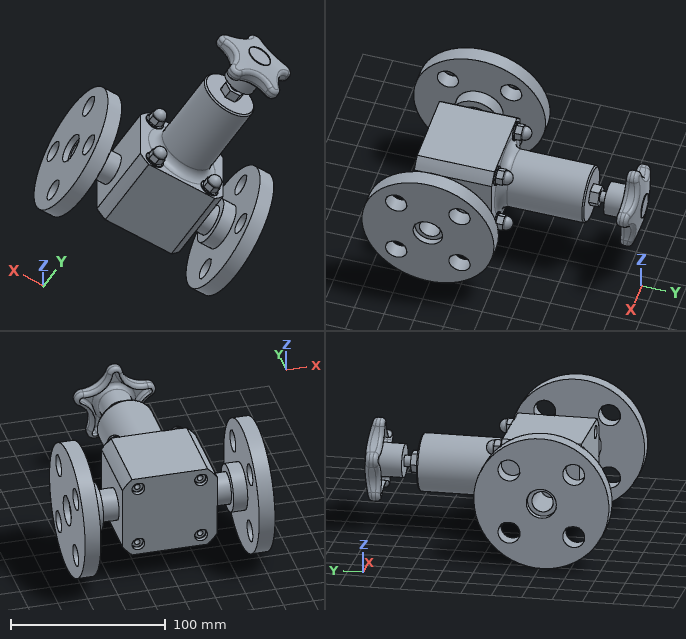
import cadquery as cq
import math


overall_length = 127.0
overall_depth = 171.8
flange_dia = 89.0
flange_thickness = 10.6
collar_dia = 31.8
collar_length = 9.5
pipe_dia = 21.3
bore_dia = 13.9
seat_dia = 19.8
seat_depth = 4.1
bolt_hole_dia = 14.3
bolt_hole_offset = 21.3

body_width = 63.4
body_height = 57.4
body_front_y = -18.7
body_back_y = 33.5
body_corner_dia = 76.5

screw_offset = 21.0
recess_dia = 8.5
recess_depth = 3.5
head_dia = 7.9
head_depth = 2.5
socket_dia = 3.8
socket_depth = 1.9
washer_dia = 12.7
washer_thickness = 0.9
nut_dia = 9.5
nut_hex_top = 5.5
nut_dome_base = 6.4

bonnet_dia = 38.1
bonnet_bottom_y = body_back_y + nut_dome_base
bonnet_top_y = 91.4
bonnet_chamfer = 1.0
gland_flats = 12.7
gland_top_y = 97.5
spindle_dia = 7.4
hub_dia = 22.2
hub_bottom_y = 102.5

wheel_top_y = overall_depth - flange_dia / 2
wheel_bottom_y = 115.2
lobe_count = 5
lobe_radius = 5.2
lobe_center_radius = 23.2
lobe_half_angle = 80.0
dome_radius = 92.7
cap_disc_dia = 16.3
cap_disc_height = 0.5
wheel_fillet = 3.0
rim_thickness = 3.0
pocket_depth = 5.5
pocket_fillet = 2.0
hub_flare_height = 3.5


def cylinder_x(dia, x_start, x_end):
    return cq.Workplane("YZ", origin=(x_start, 0, 0)).circle(dia / 2).extrude(x_end - x_start)


def plane_y(y):
    """Sketch plane at height y whose normal is +Y and whose local axes are Z and X."""
    return cq.Workplane(cq.Plane(origin=(0, y, 0), xDir=(0, 0, 1), normal=(0, 1, 0)))


def cylinder_y(dia, y_start, y_end):
    return plane_y(y_start).circle(dia / 2).extrude(y_end - y_start)


def hexagon_y(across_flats, y_start, y_end, turn=0):
    """Hexagonal prism along Y with corners towards +Z and -Z, turned by the given degrees."""
    across_corners = 2 * across_flats / math.sqrt(3)
    sketch = plane_y(y_start).transformed(rotate=(0, 0, turn))
    return sketch.polygon(6, across_corners).extrude(y_end - y_start)


def square_pattern(offset):
    return [(a, b) for a in (-offset, offset) for b in (-offset, offset)]


def make_pipe_end():
    """Flange, collar and pipe on the -X side."""
    end_x = -overall_length / 2
    body_x = -body_width / 2
    collar_x = end_x + flange_thickness
    flange = cylinder_x(flange_dia, end_x, collar_x)
    bolt_holes = (
        cq.Workplane("YZ", origin=(end_x, 0, 0))
        .pushPoints(square_pattern(bolt_hole_offset))
        .circle(bolt_hole_dia / 2)
        .extrude(flange_thickness)
    )
    return (
        flange.cut(bolt_holes)
        .union(cylinder_x(collar_dia, collar_x, collar_x + collar_length))
        .union(cylinder_x(pipe_dia, collar_x, body_x))
        .cut(cylinder_x(bore_dia, end_x, body_x))
        .cut(cylinder_x(seat_dia, end_x, end_x + seat_depth))
    )


def make_body():
    """Block whose four long edges are turned off to a common diameter."""
    block = plane_y(body_front_y).rect(body_height, body_width).extrude(body_back_y - body_front_y)
    return block.intersect(cylinder_y(body_corner_dia, body_front_y, body_back_y))


def make_screw_recess():
    """Recess at the -Y face around a screw head with a conical socket, centred on the Y axis."""
    head_y = body_front_y + head_depth
    recess = cylinder_y(recess_dia, body_front_y, body_front_y + recess_depth)
    head = cylinder_y(head_dia, head_y, body_front_y + recess_depth)
    axis = cq.Vector(0, 1, 0)
    socket = cq.Solid.makeCone(socket_dia / 2, 0, socket_depth, cq.Vector(0, head_y, 0), axis)
    return recess.cut(head).union(cq.Workplane(socket))


def make_cap_nut():
    """Washer and domed hexagon nut on the +Y face, centred on the Y axis."""
    dome_y = body_back_y + nut_dome_base
    washer_y = body_back_y + washer_thickness
    washer = cylinder_y(washer_dia, body_back_y, washer_y)
    hexagon = hexagon_y(nut_dia, washer_y, body_back_y + nut_hex_top)
    cap = cylinder_y(nut_dia, body_back_y, dome_y)
    dome = cq.Workplane("XY", origin=(0, dome_y, 0)).sphere(nut_dia / 2)
    return washer.union(hexagon).union(cap).union(dome)


def make_flare(dia, rim_y, base_y):
    """Solid of the given diameter at rim_y that widens in a hollow quarter round towards base_y."""
    radius = dia / 2
    flare_radius = abs(base_y - rim_y)
    bend = flare_radius * (1 - math.sqrt(0.5))
    bend_y = base_y + math.copysign(bend, rim_y - base_y)
    return (
        cq.Workplane("XY")
        .moveTo(0, base_y)
        .lineTo(radius + flare_radius, base_y)
        .threePointArc((radius + bend, bend_y), (radius, rim_y))
        .lineTo(0, rim_y)
        .close()
        .revolve(360, (0, 0, 0), (0, 1, 0))
    )


def make_bonnet():
    """Bonnet flaring onto the body, with the hexagonal gland and the spindle up to the wheel hub."""
    bonnet = cylinder_y(bonnet_dia, bonnet_bottom_y, bonnet_top_y).faces(">Y").chamfer(bonnet_chamfer)
    foot = make_flare(bonnet_dia, bonnet_bottom_y, body_back_y)
    gland = hexagon_y(gland_flats, bonnet_top_y, gland_top_y, turn=30)
    spindle = cylinder_y(spindle_dia, gland_top_y, hub_bottom_y)
    return bonnet.union(foot).union(gland).union(spindle)


def polar(radius, degrees):
    angle = math.radians(degrees)
    return radius * math.cos(angle), radius * math.sin(angle)


def lobed_outline(workplane, inset):
    """Star of round lobes joined by tangent hollow arcs, offset inwards by inset."""
    half_pitch = 180 / lobe_count
    radius = lobe_radius - inset
    hollow_angle = math.radians(lobe_half_angle - half_pitch)
    hollow_center_radius = (
        lobe_center_radius * math.sin(math.radians(lobe_half_angle)) / math.sin(hollow_angle)
    )
    hollow_to_lobe = lobe_center_radius * math.sin(math.radians(half_pitch)) / math.sin(hollow_angle)
    hollow_bottom_radius = hollow_center_radius - (hollow_to_lobe - radius)

    def lobe_point(lobe_angle, side):
        center = polar(lobe_center_radius, lobe_angle)
        edge = polar(radius, lobe_angle + side * lobe_half_angle)
        return center[0] + edge[0], center[1] + edge[1]

    outline = workplane.moveTo(*lobe_point(0, -1))
    for index in range(lobe_count):
        angle = 2 * half_pitch * index
        tip = polar(lobe_center_radius + radius, angle)
        hollow = polar(hollow_bottom_radius, angle + half_pitch)
        outline = outline.threePointArc(tip, lobe_point(angle, 1))
        outline = outline.threePointArc(hollow, lobe_point(angle + 2 * half_pitch, -1))
    return outline.close()


def make_handwheel():
    """Domed star wheel with rounded edges, hollow underneath, with a cap disc and a round hub."""
    dome_drop = dome_radius - math.sqrt(dome_radius**2 - (cap_disc_dia / 2) ** 2)
    dome_center_y = wheel_top_y - cap_disc_height + dome_drop - dome_radius
    dome = cq.Workplane("XY", origin=(0, dome_center_y, 0)).sphere(dome_radius)
    wheel = lobed_outline(plane_y(wheel_bottom_y), 0).extrude(dome_radius).intersect(dome)
    wheel = wheel.faces("%SPHERE").edges().fillet(wheel_fillet)
    wheel = wheel.faces("<Y").edges().fillet(wheel_fillet)

    pocket_floor_y = wheel_bottom_y + pocket_depth
    flare_rim_y = pocket_floor_y - hub_flare_height
    pocket = lobed_outline(plane_y(wheel_bottom_y), rim_thickness).extrude(pocket_depth)
    pocket = pocket.faces(">Y").edges().fillet(pocket_fillet)
    hub = cylinder_y(hub_dia, hub_bottom_y, flare_rim_y)
    flare = make_flare(hub_dia, flare_rim_y, pocket_floor_y)
    cap_disc = cylinder_y(cap_disc_dia, pocket_floor_y, wheel_top_y)
    return wheel.cut(pocket).union(hub).union(flare).union(cap_disc)


pipe_end = make_pipe_end()
result = make_body().union(pipe_end).union(pipe_end.mirror("YZ")).union(make_bonnet())
for x, z in square_pattern(screw_offset):
    result = result.cut(make_screw_recess().translate((x, 0, z)))
    result = result.union(make_cap_nut().translate((x, 0, z)))
result = result.union(make_handwheel())